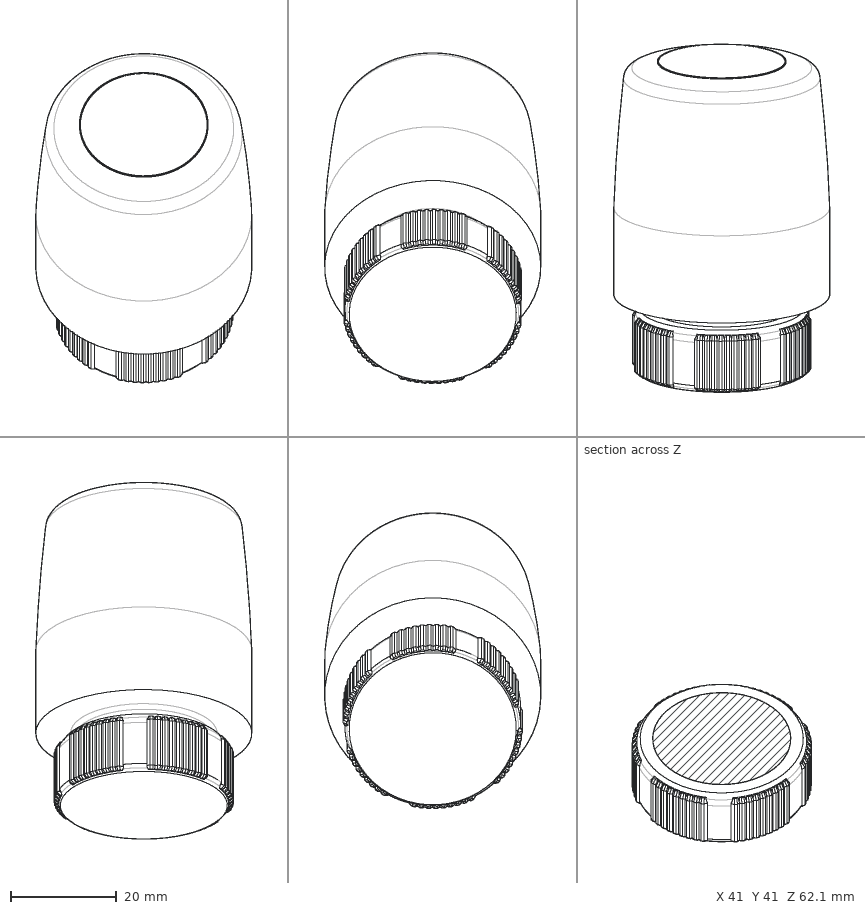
import cadquery as cq
import math

TOTAL_HEIGHT = 62.1
NUT_TOP = 12.1
HEAD_BOTTOM = 14.9
BARREL_TOP = 32.05

HEAD_RADIUS = 20.5
RIM_RADIUS = 18.5
SIDE_BULGE = 0.25
DOME_RADIUS = 55.3
RIM_FILLET = 2.35
SEAM_RADIUS = 12.1
SEAM_WIDTH = 0.2
SEAM_DEPTH = 0.2

NECK_RADIUS = 13.1
NECK_FLARE = 0.8

NUT_RADIUS = 16.65
NUT_TOP_FACE_RADIUS = 15.45
NUT_BOTTOM_FACE_RADIUS = 15.8
CONE_EDGE_RADIUS = 16.25
TOP_CONE_DEPTH = 1.05
TOP_CORNER_DEPTH = 2.3
BOTTOM_CONE_DEPTH = 0.55
BOTTOM_CORNER_DEPTH = 1.3

RIB_RADIUS = 17.0
RIB_TOP = 11.3
RIB_SHOULDER_TOP = 10.35
RIB_SHOULDER_BOTTOM = 0.9
RIB_BOTTOM = 0.3
RIB_END_RADIUS = 16.4
RIB_END_ROOT_RADIUS = 15.75
GROUP_COUNT = 6
RIBS_PER_GROUP = 9
RIB_PITCH = 4.8
RIB_CREST_WIDTH = 1.8
RIB_ROOT_WIDTH = 6.0
FIRST_GROUP_ANGLE = 25.3
RIB_EMBED = 1.25


def polar(radius, degrees):
    angle = math.radians(degrees)
    return (radius * math.cos(angle), radius * math.sin(angle))


def dome_height(radius):
    """Height of the spherical top at a distance from the axis."""
    return TOTAL_HEIGHT - DOME_RADIUS + math.sqrt(DOME_RADIUS**2 - radius**2)


def revolve_about_z(profile):
    """Revolve a closed (radius, height) profile around the Z axis."""
    return profile.close().revolve(360, (0, 0, 0), (0, 1, 0))


def make_head():
    rim_height = dome_height(RIM_RADIUS)
    side_middle = ((HEAD_RADIUS + RIM_RADIUS) / 2 + SIDE_BULGE, (BARREL_TOP + rim_height) / 2)
    dome_middle = (RIM_RADIUS / 2, dome_height(RIM_RADIUS / 2))
    profile = (
        cq.Workplane("XZ")
        .moveTo(0, HEAD_BOTTOM)
        .lineTo(HEAD_RADIUS, HEAD_BOTTOM)
        .lineTo(HEAD_RADIUS, BARREL_TOP)
        .threePointArc(side_middle, (RIM_RADIUS, rim_height))
        .threePointArc(dome_middle, (0, TOTAL_HEIGHT))
    )
    rim_edge = cq.selectors.BoxSelector(
        (-HEAD_RADIUS, -HEAD_RADIUS, rim_height - RIM_FILLET),
        (HEAD_RADIUS, HEAD_RADIUS, rim_height + RIM_FILLET),
        boundingbox=True,
    )
    head = revolve_about_z(profile).edges(rim_edge).fillet(RIM_FILLET)
    seam = (
        cq.Workplane("XY", origin=(0, 0, dome_height(SEAM_RADIUS) - SEAM_DEPTH))
        .circle(SEAM_RADIUS + SEAM_WIDTH / 2)
        .circle(SEAM_RADIUS - SEAM_WIDTH / 2)
        .extrude(2 * SEAM_DEPTH)
    )
    return head.cut(seam)


def make_neck():
    flare_start = HEAD_BOTTOM - NECK_FLARE
    profile = (
        cq.Workplane("XZ")
        .moveTo(0, NUT_TOP)
        .lineTo(NECK_RADIUS, NUT_TOP)
        .lineTo(NECK_RADIUS, flare_start)
        .tangentArcPoint((NECK_RADIUS + NECK_FLARE, HEAD_BOTTOM), relative=False)
        .lineTo(0, HEAD_BOTTOM)
    )
    return revolve_about_z(profile)


def make_nut_body():
    top_corner = NUT_TOP - TOP_CORNER_DEPTH
    profile = (
        cq.Workplane("XZ")
        .lineTo(NUT_BOTTOM_FACE_RADIUS, 0)
        .lineTo(CONE_EDGE_RADIUS, BOTTOM_CONE_DEPTH)
        .tangentArcPoint((NUT_RADIUS, BOTTOM_CORNER_DEPTH), relative=False)
        .lineTo(NUT_RADIUS, top_corner)
        .tangentArcPoint((CONE_EDGE_RADIUS, NUT_TOP - TOP_CONE_DEPTH), relative=False)
        .lineTo(NUT_TOP_FACE_RADIUS, NUT_TOP)
        .lineTo(0, NUT_TOP)
    )
    return revolve_about_z(profile)


def rib_group_outline(middle_angle, root_radius, crest_radius):
    """Corner points of a run of trapezoidal ribs with V grooves between them."""
    half_crest = RIB_CREST_WIDTH / 2
    half_root = RIB_ROOT_WIDTH / 2
    half_pitch = RIB_PITCH / 2
    groove_share = (half_root - half_pitch) / (half_root - half_crest)
    groove_radius = root_radius + groove_share * (crest_radius - root_radius)
    inner_radius = root_radius - RIB_EMBED

    first_rib = middle_angle - RIB_PITCH * (RIBS_PER_GROUP - 1) / 2
    last_rib = first_rib + RIB_PITCH * (RIBS_PER_GROUP - 1)
    start = first_rib - half_root
    end = last_rib + half_root

    points = [polar(inner_radius, start), polar(root_radius, start)]
    for index in range(RIBS_PER_GROUP):
        rib_angle = first_rib + index * RIB_PITCH
        if index > 0:
            points.append(polar(groove_radius, rib_angle - half_pitch))
        points.append(polar(crest_radius, rib_angle - half_crest))
        points.append(polar(crest_radius, rib_angle + half_crest))
    points += [polar(root_radius, end), polar(inner_radius, end)]
    return points


def make_rib_group(middle_angle):
    """A run of ribs that sinks into the nut at both ends."""
    end_outline = rib_group_outline(middle_angle, RIB_END_ROOT_RADIUS, RIB_END_RADIUS)
    full_outline = rib_group_outline(middle_angle, NUT_RADIUS, RIB_RADIUS)
    return (
        cq.Workplane("XY", origin=(0, 0, RIB_BOTTOM))
        .polyline(end_outline)
        .close()
        .workplane(offset=RIB_SHOULDER_BOTTOM - RIB_BOTTOM)
        .polyline(full_outline)
        .close()
        .workplane(offset=RIB_SHOULDER_TOP - RIB_SHOULDER_BOTTOM)
        .polyline(full_outline)
        .close()
        .workplane(offset=RIB_TOP - RIB_SHOULDER_TOP)
        .polyline(end_outline)
        .close()
        .loft(ruled=True)
    )


nut = make_nut_body()
for group in range(GROUP_COUNT):
    group_angle = FIRST_GROUP_ANGLE + group * 360 / GROUP_COUNT
    nut = nut.union(make_rib_group(group_angle))

result = nut.union(make_neck()).union(make_head())